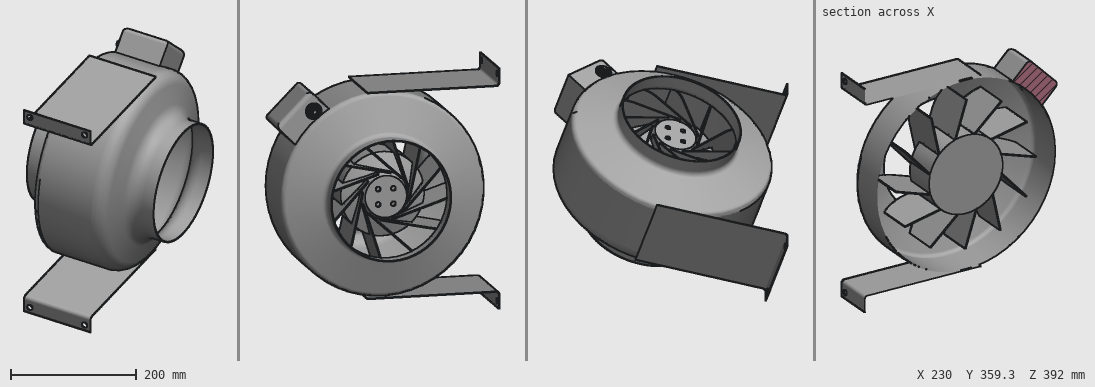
import cadquery as cq
import math


housing_length = 230.0
housing_radius = 167.0
duct_radius = 98.8
wall = 1.5
collar_length = 21.0
inlet_bend = 9.8
outlet_bend = 25.0
barrel_start = 58.5
barrel_end = 151.5

box_tilt = 45
box_length = 80.8
box_width = 78.5
box_top = 205.5
box_round = 8.0
grommet_height = 178.8
grommet_offset = -19.5
grommet_radius = 13.0
grommet_steps = 5
grommet_step_width = 2.5
grommet_step_height = 2.0

hub_front = 34.0
hub_face_radius = 34.0
hub_neck_radius = 39.0
hub_neck_end = 45.0
hub_rim_radius = 68.5
hub_rim_start = 56.0
impeller_back = housing_length / 2
bolt_hole_radius = 4.0
bolt_hole_depth = 4.0
bolt_hole_spacing = 25.0
blade_count = 12
blade_thickness = 2.0
blade_tip_radius = 130.5
blade_first_angle = 17.8
blade_knee_radius = 90.0
blade_bow_radius = 112.0
blade_bow_x = 40.5
blade_tip_x = 52.0

bracket_width = 120.7
bracket_start = 44.5
bracket_thickness = 1.5
bracket_inner_y = 27.5
bracket_outer_y = -189.5
bracket_tip_z = 196.0
bracket_bend = 6.0
bracket_hole_radius = 4.7
bracket_hole_inset = 10.5


def bend_point(centre, radius, angle):
    """Point on a bend where the tangent is sloped by angle, measured from the foot of the bend."""
    return (centre[0] + radius * math.sin(angle), centre[1] - radius * math.cos(angle))


def half_contour(bend, barrel_x, inset):
    """Points of one S-shaped side, from its collar mouth at X = 0 up to the barrel.

    The foot and shoulder bends are concentric for every inset, which keeps the wall even.
    """
    foot = (collar_length, duct_radius + bend)
    shoulder = (barrel_x, housing_radius - bend)
    run = shoulder[0] - foot[0]
    rise = shoulder[1] - foot[1]
    slope = math.atan2(rise, run) + math.asin(2 * bend / math.hypot(run, rise))
    foot_radius = bend + inset
    shoulder_radius = bend - inset
    return [
        (0, duct_radius - inset),
        (collar_length, duct_radius - inset),
        bend_point(foot, foot_radius, slope / 2),
        bend_point(foot, foot_radius, slope),
        bend_point(shoulder, -shoulder_radius, slope),
        bend_point(shoulder, -shoulder_radius, slope / 2),
        (barrel_x, housing_radius - inset),
    ]


def revolved_about_x(profile):
    return profile.close().revolve(360, (0, 0, 0), (1, 0, 0))


def shell_body(inset):
    """Solid of revolution inside the housing surface, moved inwards by inset."""
    inlet = half_contour(inlet_bend, barrel_start, inset)
    outlet = half_contour(outlet_bend, housing_length - barrel_end, inset)
    outlet = [(housing_length - x, r) for x, r in reversed(outlet)]
    profile = (
        cq.Workplane("XY")
        .moveTo(0, 0)
        .lineTo(*inlet[0])
        .lineTo(*inlet[1])
        .threePointArc(inlet[2], inlet[3])
        .lineTo(*inlet[4])
        .threePointArc(inlet[5], inlet[6])
        .lineTo(*outlet[0])
        .threePointArc(outlet[1], outlet[2])
        .lineTo(*outlet[3])
        .threePointArc(outlet[4], outlet[5])
        .lineTo(*outlet[6])
        .lineTo(housing_length, 0)
    )
    return revolved_about_x(profile)


def make_terminal_box():
    """Round-edged box reaching down into the housing, with a stepped grommet on its -X face."""
    box = (
        cq.Workplane("XY")
        .box(box_length, box_width, box_top, centered=(False, True, False))
        .translate((barrel_start, 0, 0))
        .faces(">Z")
        .edges()
        .fillet(box_round)
    )
    for step in range(grommet_steps):
        ring = (
            cq.Workplane("YZ", origin=(barrel_start, 0, 0))
            .center(grommet_offset, grommet_height)
            .circle(grommet_radius - step * grommet_step_width)
            .extrude(-(step + 1) * grommet_step_height)
        )
        box = box.union(ring)
    return box.rotate((0, 0, 0), (1, 0, 0), -box_tilt)


def make_housing():
    return shell_body(0).union(make_terminal_box()).cut(shell_body(wall))


def make_hub():
    profile = (
        cq.Workplane("XY")
        .moveTo(hub_front, 0)
        .lineTo(hub_front, hub_face_radius)
        .lineTo(hub_neck_end, hub_neck_radius)
        .lineTo(hub_rim_start, hub_rim_radius)
        .lineTo(impeller_back, hub_rim_radius)
        .lineTo(impeller_back, 0)
    )
    bolt_holes = (
        cq.Workplane("YZ", origin=(hub_front, 0, 0))
        .rarray(bolt_hole_spacing, bolt_hole_spacing, 2, 2)
        .circle(bolt_hole_radius)
        .extrude(bolt_hole_depth)
    )
    return revolved_about_x(profile).cut(bolt_holes)


def make_blade():
    """Flat blade that leaves the hub neck along its tangent and points towards +Z."""

    def along(radius):
        """Distance along the blade at which it reaches a radius from the fan axis."""
        return math.sqrt(radius**2 - hub_neck_radius**2)

    tip = along(blade_tip_radius)
    return (
        cq.Workplane("XZ", origin=(0, -hub_neck_radius, 0))
        .moveTo(impeller_back, 0)
        .lineTo(hub_front, 0)
        .lineTo(hub_front, along(blade_knee_radius))
        .threePointArc((blade_bow_x, along(blade_bow_radius)), (blade_tip_x, tip))
        .lineTo(impeller_back, tip)
        .close()
        .extrude(blade_thickness / 2, both=True)
    )


def make_impeller():
    impeller = make_hub()
    blade = make_blade()
    for index in range(blade_count):
        angle = -blade_first_angle + index * 360 / blade_count
        impeller = impeller.union(blade.rotate((0, 0, 0), (1, 0, 0), angle))
    return impeller


def make_bracket(turn):
    """Flat strip touching the housing, with a flange bent away from the fan axis.

    It lies on top of the housing, then is turned about the line along Y through its middle.
    """
    middle_x = bracket_start + bracket_width / 2
    strip_bottom = housing_radius
    strip_top = strip_bottom + bracket_thickness
    flange_inner_y = bracket_outer_y + bracket_thickness
    strip = (
        cq.Workplane("YZ", origin=(bracket_start, 0, 0))
        .moveTo(bracket_inner_y, strip_bottom)
        .lineTo(bracket_outer_y, strip_bottom)
        .lineTo(bracket_outer_y, bracket_tip_z)
        .lineTo(flange_inner_y, bracket_tip_z)
        .lineTo(flange_inner_y, strip_top)
        .lineTo(bracket_inner_y, strip_top)
        .close()
        .extrude(bracket_width)
    )
    strip = strip.edges("|X and <Y and <Z").fillet(bracket_bend)
    inner_corner = cq.selectors.NearestToPointSelector(
        (middle_x, flange_inner_y, strip_top)
    )
    strip = strip.edges("|X").edges(inner_corner).fillet(bracket_bend - bracket_thickness)
    holes = (
        cq.Workplane("XZ", origin=(middle_x, flange_inner_y, 0))
        .center(0, bracket_tip_z - bracket_hole_inset)
        .rarray(bracket_width - 2 * bracket_hole_inset, 4, 2, 1)
        .circle(bracket_hole_radius)
        .extrude(bracket_thickness)
    )
    return strip.cut(holes).rotate((middle_x, 0, 0), (middle_x, 1, 0), turn)


housing = make_housing()
impeller = make_impeller()
brackets = [make_bracket(turn) for turn in (0, 180)]

result = cq.Compound.makeCompound(
    [housing.val(), impeller.val(), *[bracket.val() for bracket in brackets]]
)